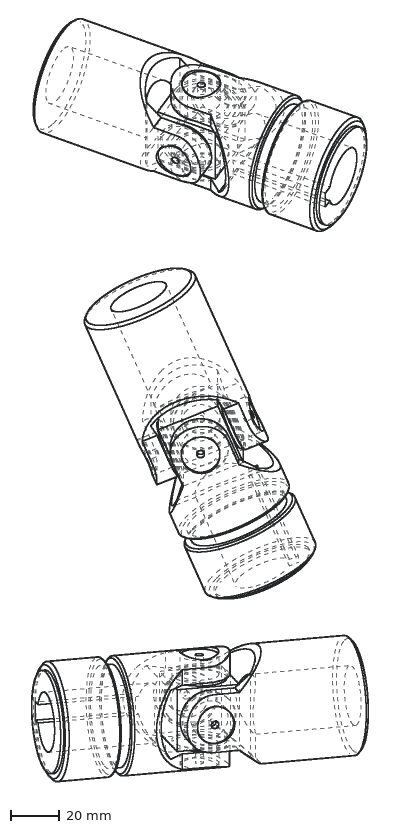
import cadquery as cq
import math

LENGTH = 132.0
HALF_LENGTH = LENGTH / 2
BODY_DIAMETER = 50.0
BODY_RADIUS = BODY_DIAMETER / 2
END_CHAMFER = 1.3
BORE_DIAMETER = 25.0

EAR_RADIUS = 12.5
EAR_STRAIGHT = 11.0
TAPER_END = 25.7
EAR_INNER_HALF_GAP = 14.9
SLOT_END_RADIUS = 23.1
PIN_DIAMETER = 16.0

GROOVE_DIAMETER = 43.0
GROOVE_START = 36.0
GROOVE_END = 40.7
GROOVE_CHAMFER = 0.9
STUB_LENGTH = 1.3

KEYWAY_WIDTH = 7.9
KEYWAY_REACH = 15.8

BLOCK_SIZE = 26.8
BOSS_DIAMETER = 23.0
PIN_REACH = 23.4
CENTRE_HOLE_DIAMETER = 3.2
CENTRE_HOLE_DEPTH = 4.0


def plain_shank():
    """Round shank along +X with one chamfered outer end."""
    return (
        cq.Workplane("YZ", origin=(-EAR_RADIUS, 0, 0))
        .circle(BODY_RADIUS)
        .extrude(HALF_LENGTH + EAR_RADIUS)
        .faces(">X")
        .chamfer(END_CHAMFER)
    )


def collared_shank():
    """Round shank along +X with a groove, a collar and a short end stub."""
    groove_radius = GROOVE_DIAMETER / 2
    collar_end = HALF_LENGTH - STUB_LENGTH
    return (
        cq.Workplane("XY")
        .moveTo(-EAR_RADIUS, 0)
        .lineTo(-EAR_RADIUS, BODY_RADIUS)
        .lineTo(GROOVE_START - GROOVE_CHAMFER, BODY_RADIUS)
        .lineTo(GROOVE_START, BODY_RADIUS - GROOVE_CHAMFER)
        .lineTo(GROOVE_START, groove_radius)
        .lineTo(GROOVE_END, groove_radius)
        .lineTo(GROOVE_END, BODY_RADIUS - GROOVE_CHAMFER)
        .lineTo(GROOVE_END + GROOVE_CHAMFER, BODY_RADIUS)
        .lineTo(collar_end - END_CHAMFER, BODY_RADIUS)
        .lineTo(collar_end, BODY_RADIUS - END_CHAMFER)
        .lineTo(collar_end, groove_radius)
        .lineTo(HALF_LENGTH, groove_radius)
        .lineTo(HALF_LENGTH, 0)
        .close()
        .revolve(360, (0, 0, 0), (1, 0, 0))
    )


def ear_outline():
    """Upright prism whose plan is a round ear nose widening into the shank."""
    return (
        cq.Workplane("XY", origin=(0, 0, -BODY_RADIUS))
        .moveTo(0, EAR_RADIUS)
        .threePointArc((-EAR_RADIUS, 0), (0, -EAR_RADIUS))
        .lineTo(EAR_STRAIGHT, -EAR_RADIUS)
        .lineTo(TAPER_END, -BODY_RADIUS)
        .lineTo(HALF_LENGTH, -BODY_RADIUS)
        .lineTo(HALF_LENGTH, BODY_RADIUS)
        .lineTo(TAPER_END, BODY_RADIUS)
        .lineTo(EAR_STRAIGHT, EAR_RADIUS)
        .close()
        .extrude(BODY_DIAMETER)
    )


def fork_slot():
    """Gap between the ears, with a round end centred on the joint."""
    arc_x = math.sqrt(SLOT_END_RADIUS**2 - EAR_INNER_HALF_GAP**2)
    return (
        cq.Workplane("XZ")
        .moveTo(-EAR_RADIUS, -EAR_INNER_HALF_GAP)
        .lineTo(arc_x, -EAR_INNER_HALF_GAP)
        .threePointArc((SLOT_END_RADIUS, 0), (arc_x, EAR_INNER_HALF_GAP))
        .lineTo(-EAR_RADIUS, EAR_INNER_HALF_GAP)
        .close()
        .extrude(BODY_RADIUS, both=True)
    )


def make_yoke(shank):
    """Cut a shank into a fork with ears above and below the joint centre."""
    bore = cq.Workplane("YZ").circle(BORE_DIAMETER / 2).extrude(HALF_LENGTH)
    pin_holes = cq.Workplane("XY").circle(PIN_DIAMETER / 2).extrude(BODY_RADIUS, both=True)
    return shank.intersect(ear_outline()).cut(fork_slot()).cut(bore).cut(pin_holes)


def keyway():
    """Straight groove along the bore, on its -Y side."""
    return (
        cq.Workplane("XY")
        .box(HALF_LENGTH, KEYWAY_REACH, KEYWAY_WIDTH, centered=(False, False, True))
        .translate((0, -KEYWAY_REACH, 0))
    )


def make_cross():
    """Centre block with a boss, pin and centre hole on four sides."""
    cross = cq.Workplane("XY").box(BLOCK_SIZE, BLOCK_SIZE, BLOCK_SIZE)
    for plane in ("XY", "XZ"):
        bosses = cq.Workplane(plane).circle(BOSS_DIAMETER / 2).extrude(EAR_INNER_HALF_GAP, both=True)
        pins = cq.Workplane(plane).circle(PIN_DIAMETER / 2).extrude(PIN_REACH, both=True)
        cross = cross.union(bosses).union(pins)
    for side in (">Z", "<Z", ">Y", "<Y"):
        cross = (
            cross.faces(side)
            .workplane(centerOption="CenterOfBoundBox")
            .hole(CENTRE_HOLE_DIAMETER, CENTRE_HOLE_DEPTH)
        )
    return cross


driven_yoke = make_yoke(collared_shank()).cut(keyway())

driving_yoke = (
    make_yoke(plain_shank())
    .rotate((0, 0, 0), (0, 0, 1), 180)
    .rotate((0, 0, 0), (1, 0, 0), 90)
)

cross = make_cross()

result = cq.Compound.makeCompound([driving_yoke.val(), driven_yoke.val(), cross.val()])